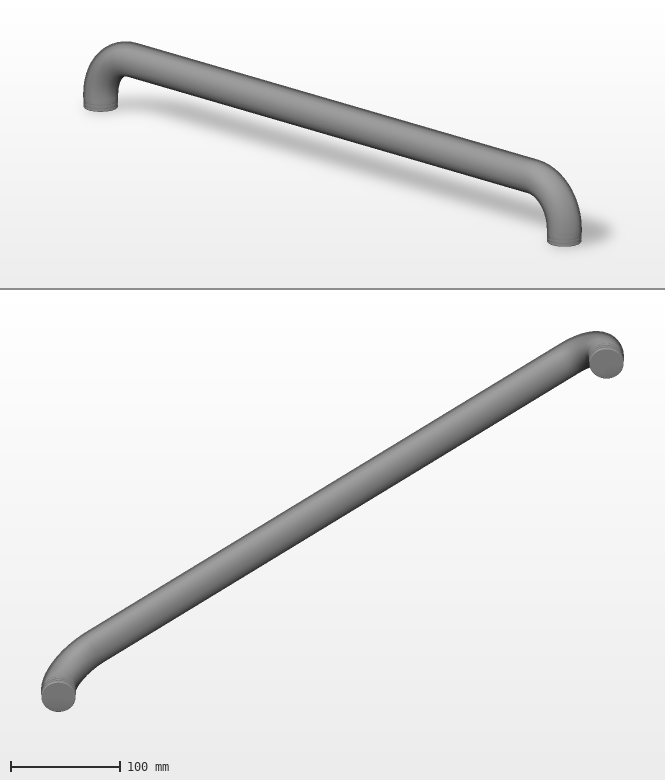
import cadquery as cq

LENGTH = 641.5
HEIGHT = 70.0
BAR_DIAMETER = 32.0
BEND_RADIUS = 41.0

FOOT_HEIGHT = 9.5
FOOT_DIAMETER = 31.5
GROOVE_COUNT = 2
GROOVE_HEIGHT = 1.0
GROOVE_DEPTH = 0.5
BOTTOM_CHAMFER = 0.5

LEG_X = (LENGTH - BAR_DIAMETER) / 2
AXIS_Z = HEIGHT - BAR_DIAMETER / 2
BEND_START_Z = AXIS_Z - BEND_RADIUS
BEND_END_X = LEG_X - BEND_RADIUS
GROOVE_PITCH = FOOT_HEIGHT / (GROOVE_COUNT + 1)


def disc(diameter, bottom_z, height):
    """Round disc on the Z axis."""
    return cq.Workplane("XY").workplane(offset=bottom_z).circle(diameter / 2).extrude(height)


def make_bar():
    """Round handle bar with both ends bent down, each ending on top of a foot."""
    bend_middle = BEND_RADIUS * 0.5 ** 0.5
    path = (
        cq.Workplane("XZ")
        .moveTo(-LEG_X, FOOT_HEIGHT)
        .lineTo(-LEG_X, BEND_START_Z)
        .threePointArc(
            (-BEND_END_X - bend_middle, BEND_START_Z + bend_middle),
            (-BEND_END_X, AXIS_Z),
        )
        .lineTo(BEND_END_X, AXIS_Z)
        .threePointArc(
            (BEND_END_X + bend_middle, BEND_START_Z + bend_middle),
            (LEG_X, BEND_START_Z),
        )
        .lineTo(LEG_X, FOOT_HEIGHT)
    )
    profile = cq.Workplane("XY", origin=(-LEG_X, 0, FOOT_HEIGHT)).circle(BAR_DIAMETER / 2)
    return profile.sweep(path)


def make_foot(x):
    """Round foot with stacked rings separated by fine grooves."""
    foot = disc(FOOT_DIAMETER, 0, FOOT_HEIGHT).faces("<Z").chamfer(BOTTOM_CHAMFER)
    groove_floor = FOOT_DIAMETER - 2 * GROOVE_DEPTH
    for index in range(1, GROOVE_COUNT + 1):
        groove_z = index * GROOVE_PITCH - GROOVE_HEIGHT / 2
        groove = disc(FOOT_DIAMETER, groove_z, GROOVE_HEIGHT).cut(
            disc(groove_floor, groove_z, GROOVE_HEIGHT)
        )
        foot = foot.cut(groove)
    return foot.translate((x, 0, 0))


bar = make_bar()
feet = [make_foot(side * LEG_X) for side in (-1, 1)]

result = cq.Compound.makeCompound([bar.val(), *[foot.val() for foot in feet]])